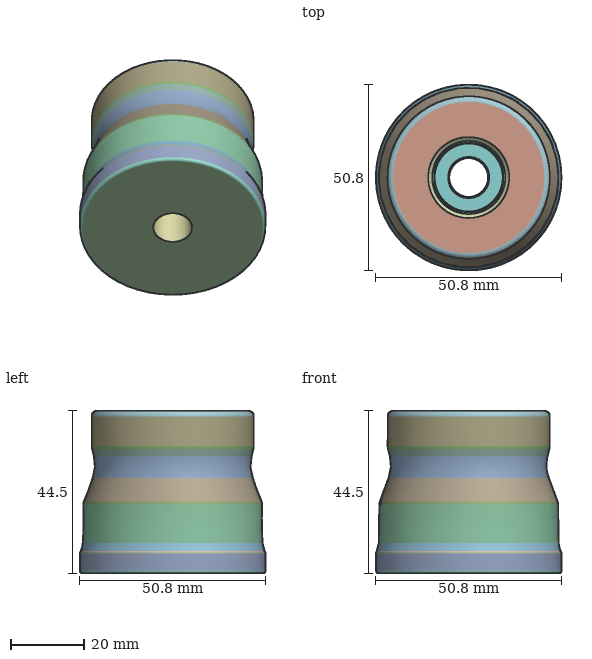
import cadquery as cq

height = 44.45
base_radius = 25.4
flare_bottom_z = 5.65
flare_top_z = 7.1
body_bottom_radius = 24.65
body_top_radius = 24.5
body_top_z = 19.2
waist_radius = 20.85
waist_z = 29.0
head_radius = 22.2
head_bottom_z = 34.4

base_fillet = 0.75
flare_bottom_fillet = 1.0
flare_top_fillet = 5.1
body_top_fillet = 2.55
waist_fillet = 9.95
head_bottom_fillet = 2.9
head_top_fillet = 1.5

bore_radius = 10.0
bore_chamfer = 1.05
bore_depth = 27.45
through_radius = 5.3
through_chamfer = 0.35

sleeve_top_depth = 3.35
sleeve_length = 8.35
sleeve_radius = 9.3
sleeve_chamfer = 0.2
lead_out_height = 1.0
lead_out_widening = 0.2


def revolve_profile(points):
    """Turn a closed (radius, z) outline about the Z axis."""
    return cq.Workplane("XZ").polyline(points).close().revolve(360, (0, 0, 0), (0, 1, 0))


def fillet_ring(body, radius, z, fillet):
    """Round the circular edge of the given radius and height."""
    margin = 0.025
    ring = cq.selectors.BoxSelector(
        (-radius - margin, -radius - margin, z - margin),
        (radius + margin, radius + margin, z + margin),
        boundingbox=True,
    )
    return body.edges("%CIRCLE").edges(ring).fillet(fillet)


def make_outer_body():
    corners = [
        (base_radius, 0, base_fillet),
        (base_radius, flare_bottom_z, flare_bottom_fillet),
        (body_bottom_radius, flare_top_z, flare_top_fillet),
        (body_top_radius, body_top_z, body_top_fillet),
        (waist_radius, waist_z, waist_fillet),
        (head_radius, head_bottom_z, head_bottom_fillet),
        (head_radius, height, head_top_fillet),
    ]
    outline = [(radius, z) for radius, z, _ in corners]
    body = revolve_profile([(0, 0), *outline, (0, height)])
    for radius, z, fillet in corners:
        body = fillet_ring(body, radius, z, fillet)
    return body


def make_bore():
    floor_z = height - bore_depth
    return revolve_profile([
        (0, 0),
        (through_radius, 0),
        (through_radius, floor_z - through_chamfer),
        (through_radius + through_chamfer, floor_z),
        (bore_radius, floor_z),
        (bore_radius, height - bore_chamfer),
        (bore_radius + bore_chamfer, height),
        (0, height),
    ])


def make_sleeve():
    top_z = height - sleeve_top_depth
    bottom_z = top_z - sleeve_length
    return revolve_profile([
        (sleeve_radius + lead_out_widening, bottom_z),
        (bore_radius, bottom_z),
        (bore_radius, top_z),
        (sleeve_radius + sleeve_chamfer, top_z),
        (sleeve_radius, top_z - sleeve_chamfer),
        (sleeve_radius, bottom_z + lead_out_height),
    ])


housing = make_outer_body().cut(make_bore())
sleeve = make_sleeve()

result = cq.Compound.makeCompound([housing.val(), sleeve.val()])